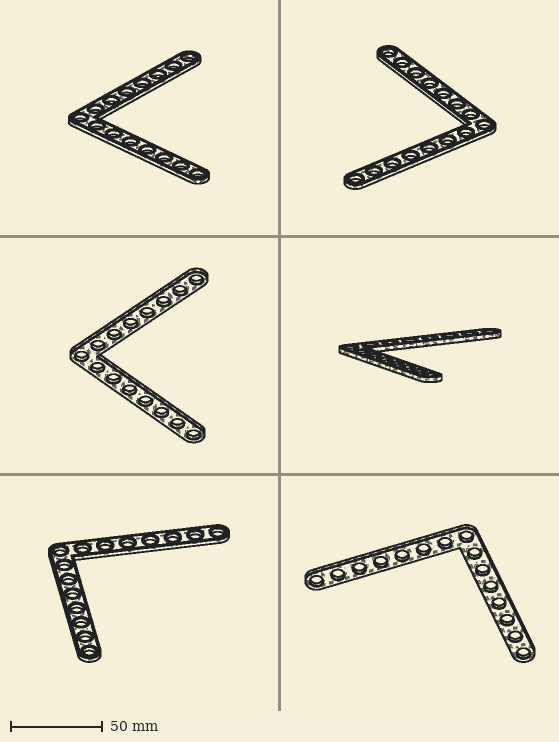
import cadquery as cq

length = 100.0
thickness = 3.1
hole_pitch = 12.5
hole_count = 8
arm_reach = (hole_count - 1) * hole_pitch
bar_width = length - arm_reach

rim_width = 1.1
recess_depth = 0.2
hole_diameter = 7.0
collar_diameter = 9.2

edge_bevel = 0.3

holes_along_x = [(i * hole_pitch, 0) for i in range(hole_count)]
holes_along_y = [(0, i * hole_pitch) for i in range(1, hole_count)]
hole_centres = holes_along_x + holes_along_y


def angle_plate(width, height):
    """L-shaped plate: two round-ended arms meeting at the corner hole."""
    slot_length = arm_reach + width
    middle = arm_reach / 2
    x_arm = cq.Workplane("XY").center(middle, 0).slot2D(slot_length, width).extrude(height)
    y_arm = cq.Workplane("XY").center(0, middle).slot2D(slot_length, width, 90).extrude(height)
    return x_arm.union(y_arm).clean()


def discs(diameter, height):
    """One upright cylinder at every hole position."""
    return cq.Workplane("XY").pushPoints(hole_centres).circle(diameter / 2).extrude(height)


def top_recess():
    """Shallow pocket in the top face, inside the rim and around the collars."""
    floor = angle_plate(bar_width - 2 * rim_width, recess_depth)
    pocket = floor.cut(discs(collar_diameter, recess_depth))
    return pocket.translate((0, 0, thickness - recess_depth))


plate = angle_plate(bar_width, thickness).cut(discs(hole_diameter, thickness))
bevelled_plate = plate.faces("<Z or >Z").edges().chamfer(edge_bevel)
result = bevelled_plate.cut(top_recess())